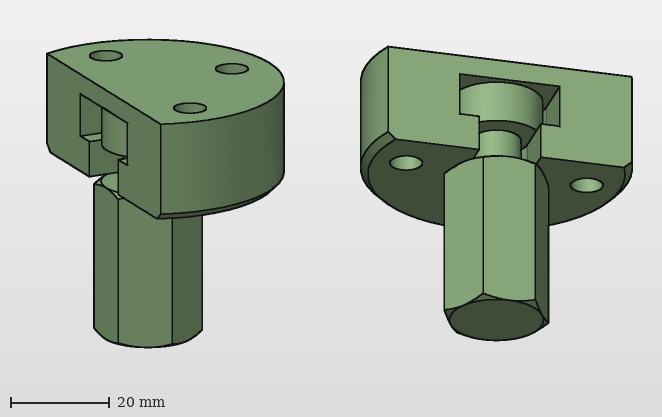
import cadquery as cq
import math

disc_radius = 27.5
flat_distance = 10.0
housing_height = 20.6
bottom_chamfer = 1.5

hole_diameter = 6.6
hole_circle_radius = 19.0
hole_angles = (0, 90, 180)

head_slot_width = 21.0
neck_slot_width = 13.0
head_slot_floor = 7.5
head_slot_top = 16.45

head_diameter = 18.8
head_height = 8.65
neck_diameter = 10.0
hex_across_flats = 19.05
hex_length = 32.3
hex_gap = 0.5
hex_chamfer_angle = 30

hex_top = -hex_gap
hex_across_corners = hex_across_flats / math.cos(math.radians(30))


def round_ended_slot(width, bottom, top):
    """Slot cutter running from the flat to a half-round end on the disc axis."""
    half_width = width / 2
    return (
        cq.Workplane("XY", origin=(0, 0, bottom))
        .moveTo(-half_width, -flat_distance)
        .lineTo(half_width, -flat_distance)
        .lineTo(half_width, 0)
        .threePointArc((0, half_width), (-half_width, 0))
        .close()
        .extrude(top - bottom)
    )


def make_housing():
    """D-shaped block with chamfered round edge, three holes and a T-slot."""
    disc = cq.Workplane("XY").circle(disc_radius).extrude(housing_height)
    disc = disc.faces("<Z").chamfer(bottom_chamfer)
    behind_flat = (
        cq.Workplane("XY", origin=(0, -flat_distance, 0))
        .rect(2 * disc_radius, 2 * disc_radius, centered=(True, False))
        .extrude(housing_height)
    )
    block = disc.intersect(behind_flat)

    hole_centers = [
        (
            hole_circle_radius * math.cos(math.radians(angle)),
            hole_circle_radius * math.sin(math.radians(angle)),
        )
        for angle in hole_angles
    ]
    holes = (
        cq.Workplane("XY")
        .pushPoints(hole_centers)
        .circle(hole_diameter / 2)
        .extrude(housing_height)
    )
    neck_slot = round_ended_slot(neck_slot_width, 0, head_slot_floor)
    head_slot = round_ended_slot(head_slot_width, head_slot_floor, head_slot_top)
    return block.cut(holes).cut(neck_slot).cut(head_slot)


def make_hex_body():
    """Hexagonal bar with corners on the X axis, cone-chamfered at both ends."""
    hex_bottom = hex_top - hex_length
    corner_radius = hex_across_corners / 2
    face_radius = hex_across_flats / 2
    chamfer_drop = (corner_radius - face_radius) * math.tan(math.radians(hex_chamfer_angle))
    prism = (
        cq.Workplane("XY", origin=(0, 0, hex_bottom))
        .polygon(6, hex_across_corners)
        .extrude(hex_length)
    )
    chamfered_envelope = (
        cq.Workplane("XZ")
        .moveTo(0, hex_bottom)
        .lineTo(face_radius, hex_bottom)
        .lineTo(corner_radius, hex_bottom + chamfer_drop)
        .lineTo(corner_radius, hex_top - chamfer_drop)
        .lineTo(face_radius, hex_top)
        .lineTo(0, hex_top)
        .close()
        .revolve(360, (0, 0, 0), (0, 1, 0))
    )
    return prism.intersect(chamfered_envelope)


def make_stud():
    """Hexagonal body joined by a neck to a head resting on the slot floor."""
    neck = (
        cq.Workplane("XY", origin=(0, 0, hex_top))
        .circle(neck_diameter / 2)
        .extrude(head_slot_floor - hex_top)
    )
    head = (
        cq.Workplane("XY", origin=(0, 0, head_slot_floor))
        .circle(head_diameter / 2)
        .extrude(head_height)
    )
    return make_hex_body().union(neck).union(head)


housing = make_housing()
stud = make_stud()

result = cq.Compound.makeCompound([housing.val(), stud.val()])